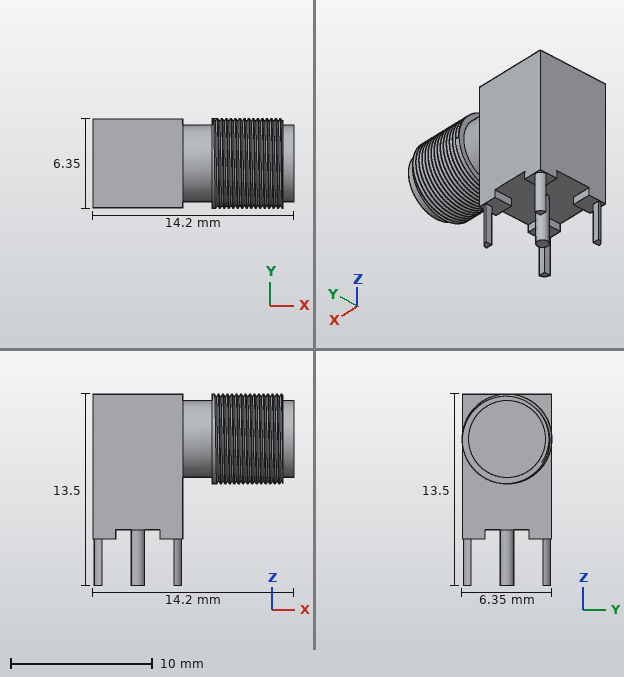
import cadquery as cq
import math


overall_length = 14.2
block_length = 6.35
block_width = 6.29
block_height = 10.25
foot_height = 0.65
recess_span = 3.1
leg_length = 3.28
leg_radius = 0.55
leg_span = 6.18
contact_diameter = 0.97
barrel_diameter = 5.44
thread_diameter = 6.35
thread_start = 8.42
thread_end = 13.43
thread_turns = 15.8
groove_depth = 0.21
groove_width = 0.3
groove_offset = 0.21
groove_start_angle = -90
cutter_overlap = 0.03

block_center = block_length / 2
axis_height = block_height - thread_diameter / 2
thread_length = thread_end - thread_start
thread_pitch = thread_length / thread_turns
barrel_plane = cq.Plane(origin=(0, 0, axis_height), xDir=(0, 0, 1), normal=(1, 0, 0))


def make_block():
    """Rectangular block standing on four corner feet."""
    block = cq.Workplane("XY").box(block_length, block_width, block_height, centered=(True, True, False))
    recess_x = cq.Workplane("XY").box(block_length, recess_span, foot_height, centered=(True, True, False))
    recess_y = cq.Workplane("XY").box(recess_span, block_width, foot_height, centered=(True, True, False))
    return block.cut(recess_x).cut(recess_y).translate((block_center, 0, 0))


def make_leg(x_side, y_side):
    """Quarter-round leg with its round side towards the outer corner."""
    inner = leg_span / 2 - leg_radius
    diagonal = inner + leg_radius * math.sqrt(0.5)
    outer = leg_span / 2
    return (
        cq.Workplane("XY", origin=(block_center, 0, 0))
        .moveTo(x_side * inner, y_side * inner)
        .lineTo(x_side * outer, y_side * inner)
        .threePointArc((x_side * diagonal, y_side * diagonal), (x_side * inner, y_side * outer))
        .close()
        .extrude(-leg_length)
    )


def make_thread_groove():
    """Right-hand helical V cutter along local Z, running out past the thread's front face."""
    crest = thread_diameter / 2
    half_width = groove_width / 2
    helix_length = thread_length - groove_offset + thread_pitch
    helix = cq.Wire.makeHelix(thread_pitch, helix_length, crest)
    profile = cq.Workplane("XZ").polyline([
        (crest - groove_depth, 0),
        (crest + cutter_overlap, half_width),
        (crest + cutter_overlap, -half_width),
    ]).close()
    return profile.sweep(cq.Workplane(obj=helix), isFrenet=True)


def make_threaded_sleeve():
    """Threaded cylinder, cut upright, trimmed to length and laid along the barrel axis.

    The blank is long enough to hold the whole groove, so that trimming it makes the groove run out.
    """
    trim_length = 3 * thread_pitch
    sleeve = cq.Workplane("XY").circle(thread_diameter / 2).extrude(thread_length + trim_length)
    groove = make_thread_groove().translate((0, 0, groove_offset))
    groove = groove.rotate((0, 0, 0), (0, 0, 1), groove_start_angle)
    trim = cq.Workplane("XY", origin=(0, 0, thread_length)).circle(thread_diameter).extrude(trim_length)
    sleeve = sleeve.cut(groove).cut(trim)
    return cq.Workplane(obj=sleeve.val().moved(barrel_plane.location)).translate((thread_start, 0, 0))


def make_housing():
    """Block, corner legs and threaded barrel as one solid."""
    housing = make_block()
    for x_side in (-1, 1):
        for y_side in (-1, 1):
            housing = housing.union(make_leg(x_side, y_side))
    barrel = (
        cq.Workplane(barrel_plane)
        .workplane(offset=block_length)
        .circle(barrel_diameter / 2)
        .extrude(overall_length - block_length)
    )
    return housing.union(barrel).union(make_threaded_sleeve())


def make_centre_contact():
    """Round contact hanging from the recess to the level of the leg ends."""
    return (
        cq.Workplane("XY", origin=(block_center, 0, foot_height))
        .circle(contact_diameter / 2)
        .extrude(-(foot_height + leg_length))
    )


housing = make_housing()
centre_contact = make_centre_contact()
result = cq.Compound.makeCompound([*housing.solids().vals(), centre_contact.val()])